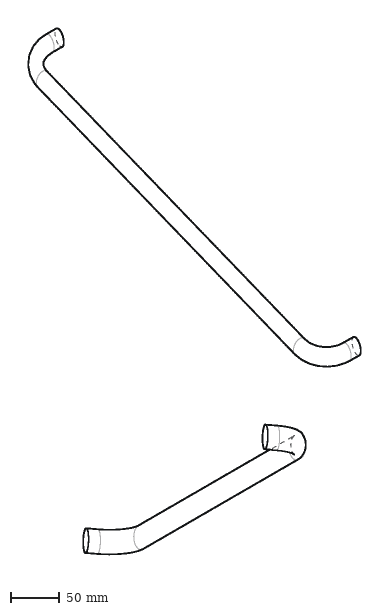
import cadquery as cq
import math

length = 536.0
depth = 56.0
height = 26.0

thickness = 16.0
leg_length = 13.0

half_span = (length - thickness) / 2
grip_y = (thickness - depth) / 2
leg_end_y = depth / 2
bend_start_y = leg_end_y - leg_length
bend_radius = bend_start_y - grip_y
half_grip = half_span - bend_radius
bend_centre_to_mid = bend_radius * math.sin(math.radians(45))
bend_mid_x = half_grip + bend_centre_to_mid
bend_mid_y = bend_start_y - bend_centre_to_mid

centreline = (
    cq.Workplane("XY")
    .moveTo(-half_span, leg_end_y)
    .lineTo(-half_span, bend_start_y)
    .threePointArc((-bend_mid_x, bend_mid_y), (-half_grip, grip_y))
    .lineTo(half_grip, grip_y)
    .threePointArc((bend_mid_x, bend_mid_y), (half_span, bend_start_y))
    .lineTo(half_span, leg_end_y)
)

result = (
    cq.Workplane("XZ", origin=(-half_span, leg_end_y, 0))
    .ellipse(thickness / 2, height / 2)
    .sweep(centreline)
)